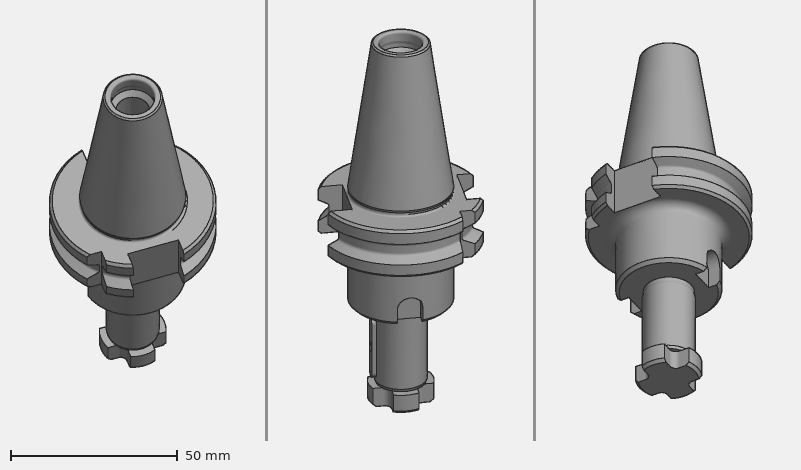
import cadquery as cq
import math

ARC_MID = 1 - math.sqrt(0.5)

TOTAL_HEIGHT = 120.8
HEAD_HEIGHT = 6.3
BODY_BOTTOM = 33.1
FLANGE_BOTTOM = 54.0
FLANGE_TOP = 69.8
GAUGE_HEIGHT = 71.9

GAUGE_RADIUS = 16.0
TAPER_SLOPE = 7 / 48
TIP_CHAMFER = 0.5
NECK_RADIUS = 15.7
NECK_CONE_HEIGHT = 0.7
NECK_FILLET = 0.7

FLANGE_RADIUS = 25.0
FLANGE_CHAMFER = 0.8
GROOVE_FLOOR_RADIUS = 22.0
GROOVE_CENTER = 61.8
GROOVE_MOUTH_WIDTH = 7.0
GROOVE_WALL_ANGLE = 30
GROOVE_FILLET = 0.8
DRIVE_SLOT_WIDTH = 16.1
DRIVE_SLOT_LEFT = 16.3
DRIVE_SLOT_RIGHT = 18.6
CORNER_NOTCH_OFFSET = 15.2

BODY_RADIUS = 16.0
BODY_FILLET = 3.0
BODY_CHAMFER = 1.1
BODY_SLOT_WIDTH = 7.7
BODY_SLOT_TOP = 42.3
BODY_SLOT_FLOOR = 11.6

ARBOR_RADIUS = 8.0
RELIEF_RADIUS = 7.7
RELIEF_HEIGHT = 1.3
RELIEF_CONE_HEIGHT = 0.8
ARBOR_END_RADIUS = 7.6
ARBOR_END_HEIGHT = 1.0
KEY_FACE = 9.2
KEY_WIDTH = 4.0
KEY_LENGTH = 20.2
KEY_CENTER = 18.4
KEY_HOLE_RADIUS = 1.0
KEY_HOLE_CHAMFER = 0.5
KEY_HOLE_DEPTH = 2.4

HEAD_RADIUS = 10.0
HEAD_CHAMFER = 1.0
HEAD_ARM_WIDTH = 7.7
HEAD_INNER_FILLET = 2.0

MOUTH_RADIUS = 6.5
MOUTH_FILLET = 0.7
MOUTH_DEPTH = 3.1
RECESS_RADIUS = 6.8
RECESS_START = 4.1
RECESS_END = 5.3
THREAD_RADIUS = 5.1
THREAD_START = 6.9
THREAD_END = 24.2
FLOOR_RADIUS = 3.4
DRILL_TIP_ANGLE = 118


def revolve_profile(profile):
    """Turn a closed (radius, height) wire on the XZ plane about the Z axis."""
    return profile.close().revolve(360, (0, 0, 0), (0, 1, 0))


def turned_body():
    """Arbor, body, flange and taper shank as one turned solid."""
    tip_radius = GAUGE_RADIUS - TAPER_SLOPE * (TOTAL_HEIGHT - GAUGE_HEIGHT)
    groove_depth = FLANGE_RADIUS - GROOVE_FLOOR_RADIUS
    mouth_half = GROOVE_MOUTH_WIDTH / 2
    floor_half = mouth_half - groove_depth * math.tan(math.radians(GROOVE_WALL_ANGLE))
    relief_bottom = BODY_BOTTOM - RELIEF_HEIGHT
    flange_rim = FLANGE_RADIUS - FLANGE_CHAMFER

    profile = (
        cq.Workplane("XZ")
        .moveTo(0, HEAD_HEIGHT)
        .lineTo(ARBOR_END_RADIUS, HEAD_HEIGHT)
        .lineTo(ARBOR_RADIUS, HEAD_HEIGHT + ARBOR_END_HEIGHT)
        .lineTo(ARBOR_RADIUS, relief_bottom - RELIEF_CONE_HEIGHT)
        .lineTo(RELIEF_RADIUS, relief_bottom)
        .lineTo(RELIEF_RADIUS, BODY_BOTTOM)
        .lineTo(BODY_RADIUS - BODY_CHAMFER, BODY_BOTTOM)
        .lineTo(BODY_RADIUS, BODY_BOTTOM + BODY_CHAMFER)
        .lineTo(BODY_RADIUS, FLANGE_BOTTOM - BODY_FILLET)
        .threePointArc(
            (BODY_RADIUS + BODY_FILLET * ARC_MID, FLANGE_BOTTOM - BODY_FILLET * ARC_MID),
            (BODY_RADIUS + BODY_FILLET, FLANGE_BOTTOM),
        )
        .lineTo(flange_rim, FLANGE_BOTTOM)
        .lineTo(FLANGE_RADIUS, FLANGE_BOTTOM + FLANGE_CHAMFER)
        .lineTo(FLANGE_RADIUS, GROOVE_CENTER - mouth_half)
        .lineTo(GROOVE_FLOOR_RADIUS, GROOVE_CENTER - floor_half)
        .lineTo(GROOVE_FLOOR_RADIUS, GROOVE_CENTER + floor_half)
        .lineTo(FLANGE_RADIUS, GROOVE_CENTER + mouth_half)
        .lineTo(FLANGE_RADIUS, FLANGE_TOP - FLANGE_CHAMFER)
        .lineTo(flange_rim, FLANGE_TOP)
        .lineTo(NECK_RADIUS + NECK_FILLET, FLANGE_TOP)
        .threePointArc(
            (NECK_RADIUS + NECK_FILLET * ARC_MID, FLANGE_TOP + NECK_FILLET * ARC_MID),
            (NECK_RADIUS, FLANGE_TOP + NECK_FILLET),
        )
        .lineTo(NECK_RADIUS, GAUGE_HEIGHT - NECK_CONE_HEIGHT)
        .lineTo(GAUGE_RADIUS, GAUGE_HEIGHT)
        .lineTo(tip_radius + TAPER_SLOPE * TIP_CHAMFER, TOTAL_HEIGHT - TIP_CHAMFER)
        .lineTo(tip_radius - TIP_CHAMFER, TOTAL_HEIGHT)
        .lineTo(0, TOTAL_HEIGHT)
    )
    floor_edges = cq.selectors.BoxSelector(
        (-FLANGE_RADIUS, -FLANGE_RADIUS, GROOVE_CENTER - mouth_half + FLANGE_CHAMFER),
        (FLANGE_RADIUS, FLANGE_RADIUS, GROOVE_CENTER + mouth_half - FLANGE_CHAMFER),
    )
    return revolve_profile(profile).edges("%CIRCLE").edges(floor_edges).fillet(GROOVE_FILLET)


def tip_bore():
    """Stepped bore sunk into the tip, ending in a truncated drill cone."""
    drill_tip_drop = (THREAD_RADIUS - FLOOR_RADIUS) / math.tan(math.radians(DRILL_TIP_ANGLE / 2))
    floor_height = TOTAL_HEIGHT - THREAD_END - drill_tip_drop
    profile = (
        cq.Workplane("XZ")
        .moveTo(0, TOTAL_HEIGHT)
        .lineTo(MOUTH_RADIUS + MOUTH_FILLET, TOTAL_HEIGHT)
        .threePointArc(
            (MOUTH_RADIUS + MOUTH_FILLET * ARC_MID, TOTAL_HEIGHT - MOUTH_FILLET * ARC_MID),
            (MOUTH_RADIUS, TOTAL_HEIGHT - MOUTH_FILLET),
        )
        .lineTo(MOUTH_RADIUS, TOTAL_HEIGHT - MOUTH_DEPTH)
        .lineTo(RECESS_RADIUS, TOTAL_HEIGHT - RECESS_START)
        .lineTo(RECESS_RADIUS, TOTAL_HEIGHT - RECESS_END)
        .lineTo(THREAD_RADIUS, TOTAL_HEIGHT - THREAD_START)
        .lineTo(THREAD_RADIUS, TOTAL_HEIGHT - THREAD_END)
        .lineTo(FLOOR_RADIUS, floor_height)
        .lineTo(0, floor_height)
    )
    return revolve_profile(profile)


def flange_cuts():
    """Two unequal drive slots and the square orientation notch."""
    height = FLANGE_TOP - FLANGE_BOTTOM + BODY_FILLET
    reach = FLANGE_RADIUS / 2
    notch_center = CORNER_NOTCH_OFFSET + reach

    def block(x, y, width):
        return (
            cq.Workplane("XY", origin=(x, y, FLANGE_BOTTOM - BODY_FILLET))
            .rect(FLANGE_RADIUS, width)
            .extrude(height)
        )

    left_slot = block(-DRIVE_SLOT_LEFT - reach, 0, DRIVE_SLOT_WIDTH)
    right_slot = block(DRIVE_SLOT_RIGHT + reach, 0, DRIVE_SLOT_WIDTH)
    corner_notch = block(notch_center, -notch_center, FLANGE_RADIUS)
    return left_slot.union(right_slot).union(corner_notch)


def body_slot():
    """Round-topped slot in the -Y side of the body, open at its lower end."""
    radius = BODY_SLOT_WIDTH / 2
    return (
        cq.Workplane("XZ", origin=(0, -BODY_SLOT_FLOOR, 0))
        .moveTo(-radius, BODY_BOTTOM)
        .lineTo(radius, BODY_BOTTOM)
        .lineTo(radius, BODY_SLOT_TOP - radius)
        .threePointArc((0, BODY_SLOT_TOP), (-radius, BODY_SLOT_TOP - radius))
        .close()
        .extrude(BODY_RADIUS)
    )


def arbor_key():
    """Round-ended key on the -X side of the arbor."""
    return (
        cq.Workplane("YZ", origin=(-KEY_FACE, 0, KEY_CENTER))
        .slot2D(KEY_LENGTH, KEY_WIDTH, 90)
        .extrude(KEY_FACE)
    )


def key_hole():
    """Blind hole with a chamfered mouth, entering the key face along +X."""
    hole = (
        cq.Workplane("YZ", origin=(-KEY_FACE, 0, KEY_CENTER))
        .circle(KEY_HOLE_RADIUS)
        .extrude(KEY_HOLE_DEPTH)
    )
    mouth = cq.Solid.makeCone(
        KEY_HOLE_RADIUS + KEY_HOLE_CHAMFER,
        KEY_HOLE_RADIUS,
        KEY_HOLE_CHAMFER,
        pnt=cq.Vector(-KEY_FACE, 0, KEY_CENTER),
        dir=cq.Vector(1, 0, 0),
    )
    return hole.union(cq.Workplane(mouth))


def clamping_head():
    """Four arms trimmed to a chamfered disc, filleted where they meet."""
    cross = (
        cq.Workplane("XY")
        .rect(2 * HEAD_RADIUS, HEAD_ARM_WIDTH)
        .extrude(HEAD_HEIGHT)
        .union(cq.Workplane("XY").rect(HEAD_ARM_WIDTH, 2 * HEAD_RADIUS).extrude(HEAD_HEIGHT))
    )
    inner_corners = cq.selectors.BoxSelector(
        (-HEAD_ARM_WIDTH, -HEAD_ARM_WIDTH, 0), (HEAD_ARM_WIDTH, HEAD_ARM_WIDTH, HEAD_HEIGHT)
    )
    cross = cross.edges("|Z").edges(inner_corners).fillet(HEAD_INNER_FILLET)
    disc = cq.Workplane("XY").circle(HEAD_RADIUS).extrude(HEAD_HEIGHT).faces("<Z").chamfer(HEAD_CHAMFER)
    return cross.intersect(disc)


front_slot = body_slot()
back_slot = front_slot.mirror("XZ")

result = (
    turned_body()
    .cut(tip_bore())
    .cut(flange_cuts())
    .cut(front_slot)
    .cut(back_slot)
    .union(clamping_head())
    .union(arbor_key())
    .cut(key_hole())
)